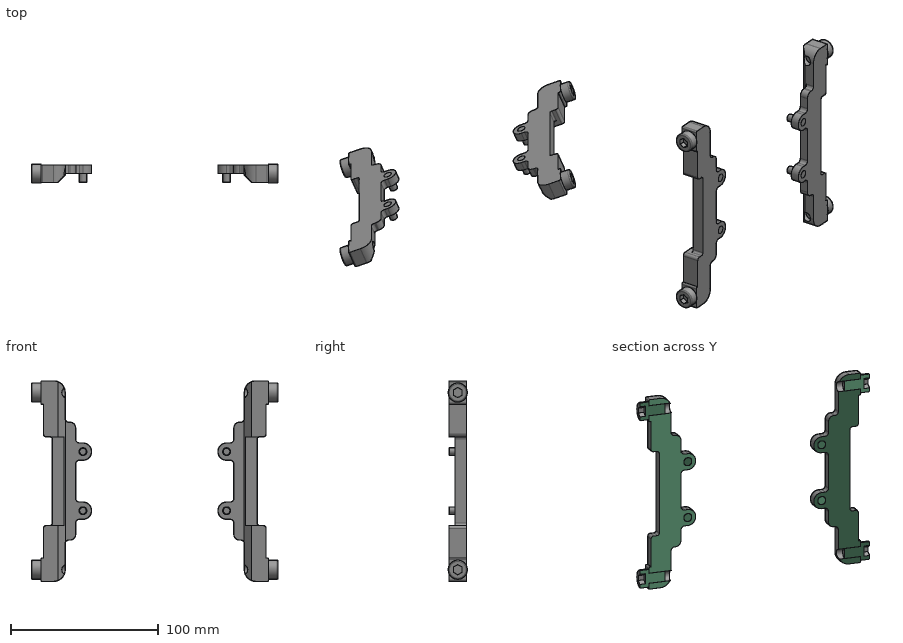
import cadquery as cq
import math


overall_width = 167.0
bracket_height = 136.0
thickness = 12.0
half_height = bracket_height / 2
back_y = thickness / 2
front_y = -thickness / 2

head_diameter = 13.0
head_length = 6.3
head_edge_fillet = 0.8
socket_across_flats = 6.0
socket_depth = 4.0
shank_diameter = 6.8
shank_length = 12.0
screw_z = 60.0

pad_x = -overall_width / 2 + head_length
pad_step = 1.7
pad_edge_fillet = 1.0
block_outer_x = pad_x + pad_step
bar_outer_x = -69.5
inner_x = -60.6
pad_end_z = 2 * screw_z - half_height
block_end_z = 30.0
bar_thickness = 8.0
end_corner_radius = 8.0
block_corner_radius = 2.0
bar_corner_radius = 1.5
front_bevel = 5.0

flange_thickness = 6.0
flange_edge_x = -53.5
flange_half_height = 40.0
flange_corner_radius = 4.0
flange_root_radius = 2.3
lug_x = -48.65
lug_z = 20.0
lug_radius = 5.9
lug_root_radius = 2.5

pin_diameter = 5.3
pin_chamfer = 0.4

edge_reach = 0.1


def back_plane():
    """XZ plane on the back face; extrusions from it run towards the front."""
    return cq.Workplane("XZ", origin=(0, back_y, 0))


def fillet_at(solid, x, z, radius):
    """Round the Y-parallel edges at (x, +z) and (x, -z)."""
    for side in (1, -1):
        low_corner = (x - edge_reach, 2 * front_y, side * z - edge_reach)
        high_corner = (x + edge_reach, 2 * back_y, side * z + edge_reach)
        edges = solid.edges("|Y").edges(cq.selectors.BoxSelector(low_corner, high_corner))
        solid = edges.fillet(radius)
    return solid


def make_beam():
    """Bar with a thicker block and a screw pad at each end."""
    beam = back_plane().polyline([
        (inner_x, half_height),
        (pad_x, half_height),
        (pad_x, pad_end_z),
        (block_outer_x, pad_end_z),
        (block_outer_x, block_end_z),
        (bar_outer_x, block_end_z),
        (bar_outer_x, -block_end_z),
        (block_outer_x, -block_end_z),
        (block_outer_x, -pad_end_z),
        (pad_x, -pad_end_z),
        (pad_x, -half_height),
        (inner_x, -half_height),
    ]).close().extrude(thickness)
    beam = fillet_at(beam, inner_x, half_height, end_corner_radius)
    beam = fillet_at(beam, pad_x, half_height, pad_edge_fillet)
    beam = fillet_at(beam, pad_x, pad_end_z, pad_edge_fillet)
    beam = fillet_at(beam, block_outer_x, block_end_z, block_corner_radius)
    beam = fillet_at(beam, bar_outer_x, block_end_z, bar_corner_radius)

    bevel = cq.Workplane("XY").polyline([
        (inner_x, front_y),
        (inner_x - front_bevel, front_y),
        (inner_x, front_y + front_bevel),
    ]).close().extrude(half_height, both=True)

    recess_depth = thickness - bar_thickness
    front_recess = (
        cq.Workplane("XY")
        .box(inner_x - block_outer_x, recess_depth, 2 * block_end_z)
        .translate(((inner_x + block_outer_x) / 2, front_y + recess_depth / 2, 0))
    )
    return beam.cut(bevel).cut(front_recess)


def make_flange():
    """Thin plate along the inner side of the bar, with two round lugs."""
    root_x = inner_x - flange_thickness / 2
    plate = back_plane().polyline([
        (root_x, flange_half_height),
        (flange_edge_x, flange_half_height),
        (flange_edge_x, -flange_half_height),
        (root_x, -flange_half_height),
    ]).close().extrude(flange_thickness)
    plate = fillet_at(plate, flange_edge_x, flange_half_height, flange_corner_radius)
    for z in (lug_z, -lug_z):
        lug = (
            back_plane()
            .moveTo(root_x, z + lug_radius)
            .lineTo(lug_x, z + lug_radius)
            .threePointArc((lug_x + lug_radius, z), (lug_x, z - lug_radius))
            .lineTo(root_x, z - lug_radius)
            .close()
            .extrude(flange_thickness)
        )
        plate = plate.union(lug)
    for z in (lug_z + lug_radius, lug_z - lug_radius):
        plate = fillet_at(plate, flange_edge_x, z, lug_root_radius)
    return plate


def make_bracket():
    """Beam and flange as one solid, with holes for the screws and pins."""
    bracket = make_beam().union(make_flange())
    bracket = fillet_at(bracket, inner_x, flange_half_height, flange_root_radius)
    screw_holes = (
        cq.Workplane("YZ", origin=(pad_x, 0, 0))
        .pushPoints([(0, screw_z), (0, -screw_z)])
        .circle(shank_diameter / 2)
        .extrude(inner_x - pad_x)
    )
    pin_holes = (
        back_plane()
        .pushPoints([(lug_x, lug_z), (lug_x, -lug_z)])
        .circle(pin_diameter / 2)
        .extrude(flange_thickness)
    )
    return bracket.cut(screw_holes).cut(pin_holes)


def make_screw(z):
    """Hexagon socket cap screw along +X, its head seated on the pad."""
    head = (
        cq.Workplane("YZ", origin=(pad_x, 0, z))
        .circle(head_diameter / 2)
        .extrude(-head_length)
        .faces("<X").edges().fillet(head_edge_fillet)
    )
    shank = (
        cq.Workplane("YZ", origin=(pad_x, 0, z))
        .circle(shank_diameter / 2)
        .extrude(shank_length)
    )
    across_corners = socket_across_flats / math.cos(math.pi / 6)
    socket = (
        cq.Workplane("YZ", origin=(pad_x - head_length, 0, z))
        .transformed(rotate=(0, 0, 90))
        .polygon(6, across_corners)
        .extrude(socket_depth)
    )
    return head.union(shank).cut(socket)


def make_pin(z):
    """Pin through a lug, ending level with the front of the bracket."""
    return (
        cq.Workplane("XZ", origin=(lug_x, back_y, z))
        .circle(pin_diameter / 2)
        .extrude(thickness)
        .faces("<Y").chamfer(pin_chamfer)
    )


left_bodies = [make_bracket()]
for side in (1, -1):
    left_bodies.append(make_screw(side * screw_z))
    left_bodies.append(make_pin(side * lug_z))

right_bodies = [body.mirror("YZ") for body in left_bodies]

result = cq.Compound.makeCompound([body.val() for body in left_bodies + right_bodies])